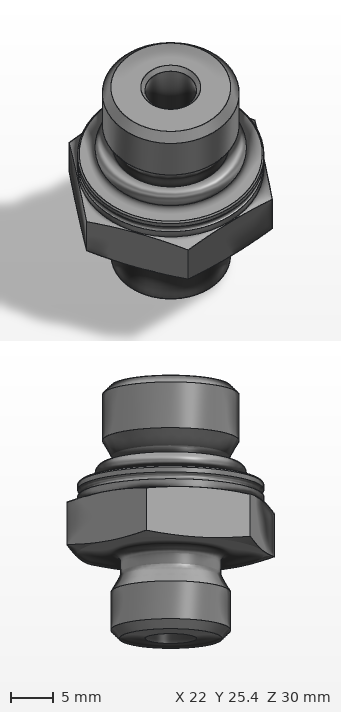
import cadquery as cq
import math

hex_bottom = 10.0
hex_top = 16.0
collar_top = 18.5
total_height = 30.0

hex_sides = 6
hex_half_angle = 180.0 / hex_sides
across_flats = 22.0
across_corners = across_flats / math.cos(math.radians(hex_half_angle))
hex_bevel_angle = 15.0
hex_bevel_diameter = 21.8

collar_diameter = 21.8
collar_edge_chamfer = 0.2
collar_groove_bottom = 16.9
collar_groove_top = 17.7
collar_groove_depth = 0.3

end_chamfer = 1.0
cone_half_angle = 30.0
lower_stud_diameter = 14.0
lower_neck_diameter = 11.7
lower_cone_start = 5.5
lower_neck_fillet = 1.0
upper_stud_diameter = 16.0
upper_neck_diameter = 13.7
upper_cone_start = 23.55
upper_neck_fillet = 0.35

bore_diameter = 6.0
countersink_diameter = 7.0

ring_cord_diameter = 2.2
ring_outer_diameter = 17.7
ring_center_height = collar_top + ring_cord_diameter / 2


def cone_length(stud_diameter, neck_diameter):
    """Axial length of the cone between a stud and its neck."""
    return (stud_diameter - neck_diameter) / 2 / math.tan(math.radians(cone_half_angle))


def neck_circle(diameter, height):
    """Selector for the circular edge where a cone meets its neck."""
    radius = diameter / 2
    margin = 0.01
    return cq.selectors.BoxSelector(
        (-radius - margin, -radius - margin, height - margin),
        (radius + margin, radius + margin, height + margin),
        boundingbox=True,
    )


def make_lower_stud():
    stud_radius = lower_stud_diameter / 2
    neck_radius = lower_neck_diameter / 2
    neck_start = lower_cone_start + cone_length(lower_stud_diameter, lower_neck_diameter)
    root_start = hex_bottom - lower_neck_fillet
    fillet_middle = lower_neck_fillet * (1 - math.sqrt(0.5))
    stud = (
        cq.Workplane("XZ")
        .lineTo(stud_radius - end_chamfer, 0)
        .lineTo(stud_radius, end_chamfer)
        .lineTo(stud_radius, lower_cone_start)
        .lineTo(neck_radius, neck_start)
        .lineTo(neck_radius, root_start)
        .threePointArc(
            (neck_radius + fillet_middle, hex_bottom - fillet_middle),
            (neck_radius + lower_neck_fillet, hex_bottom),
        )
        .lineTo(0, hex_bottom)
        .close()
        .revolve(360, (0, 0), (0, 1))
    )
    return stud.edges(neck_circle(lower_neck_diameter, neck_start)).fillet(lower_neck_fillet)


def make_upper_stud():
    stud_radius = upper_stud_diameter / 2
    neck_radius = upper_neck_diameter / 2
    neck_end = upper_cone_start - cone_length(upper_stud_diameter, upper_neck_diameter)
    stud = (
        cq.Workplane("XZ")
        .moveTo(0, collar_top)
        .lineTo(neck_radius, collar_top)
        .lineTo(neck_radius, neck_end)
        .lineTo(stud_radius, upper_cone_start)
        .lineTo(stud_radius, total_height - end_chamfer)
        .lineTo(stud_radius - end_chamfer, total_height)
        .lineTo(0, total_height)
        .close()
        .revolve(360, (0, 0), (0, 1))
    )
    return stud.edges(neck_circle(upper_neck_diameter, neck_end)).fillet(upper_neck_fillet)


def make_hexagon():
    """Hexagon with corners on Y, bevelled by a cone at both ends."""
    height = hex_top - hex_bottom
    prism = (
        cq.Workplane("XY", origin=(0, 0, hex_bottom))
        .polygon(hex_sides, across_corners)
        .extrude(height)
        .rotate((0, 0, 0), (0, 0, 1), hex_half_angle)
    )
    face_radius = hex_bevel_diameter / 2
    corner_radius = across_corners / 2
    drop = (corner_radius - face_radius) * math.tan(math.radians(hex_bevel_angle))
    envelope = (
        cq.Workplane("XZ")
        .moveTo(0, hex_bottom)
        .lineTo(face_radius, hex_bottom)
        .lineTo(corner_radius, hex_bottom + drop)
        .lineTo(corner_radius, hex_top - drop)
        .lineTo(face_radius, hex_top)
        .lineTo(0, hex_top)
        .close()
        .revolve(360, (0, 0), (0, 1))
    )
    return prism.intersect(envelope)


def make_collar():
    radius = collar_diameter / 2
    groove_middle = (collar_groove_bottom + collar_groove_top) / 2
    return (
        cq.Workplane("XZ")
        .moveTo(0, hex_top)
        .lineTo(radius, hex_top)
        .lineTo(radius, collar_groove_bottom)
        .threePointArc((radius - collar_groove_depth, groove_middle), (radius, collar_groove_top))
        .lineTo(radius, collar_top - collar_edge_chamfer)
        .lineTo(radius - collar_edge_chamfer, collar_top)
        .lineTo(0, collar_top)
        .close()
        .revolve(360, (0, 0), (0, 1))
    )


def make_bore():
    """Through bore with a 45 degree countersink at the upper end."""
    bore_radius = bore_diameter / 2
    countersink_radius = countersink_diameter / 2
    countersink_depth = countersink_radius - bore_radius
    return (
        cq.Workplane("XZ")
        .lineTo(bore_radius, 0)
        .lineTo(bore_radius, total_height - countersink_depth)
        .lineTo(countersink_radius, total_height)
        .lineTo(0, total_height)
        .close()
        .revolve(360, (0, 0), (0, 1))
    )


def make_sealing_ring():
    cord_radius = ring_cord_diameter / 2
    center_radius = ring_outer_diameter / 2 - cord_radius
    return (
        cq.Workplane("XZ")
        .center(center_radius, ring_center_height)
        .circle(cord_radius)
        .revolve(360, (-center_radius, 0), (-center_radius, 1))
    )


def make_fitting(ring):
    """Fitting body, with a shallow seat in the upper neck that matches the ring."""
    solid = make_lower_stud().union(make_hexagon()).union(make_collar()).union(make_upper_stud())
    return solid.cut(make_bore()).cut(ring).solids()


sealing_ring = make_sealing_ring()
fitting = make_fitting(sealing_ring)

result = cq.Compound.makeCompound([fitting.val(), sealing_ring.val()])